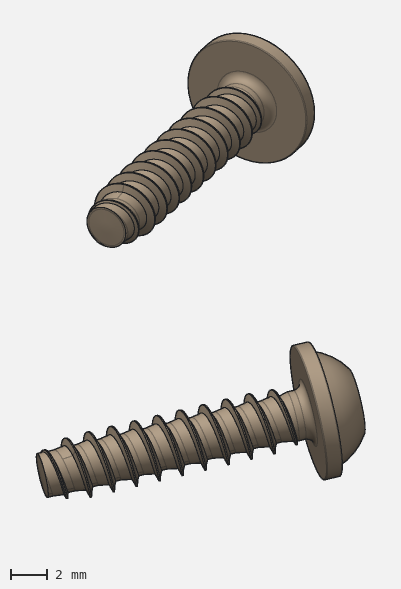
import math

import cadquery as cq


head_height = 2.7
flange_diameter = 7.5
flange_thickness = 0.9
flange_edge_radius = 0.05
dome_sphere_radius = 3.4
dome_base_radius = 3.23

shank_length = 15.0
shank_radius = 1.37
head_fillet_radius = 0.5
collar_length = 0.88
core_cone_end = 1.42
core_radius = 1.22
tip_point_height = 0.05
tip_point_radius = 1.11

thread_pitch = 1.29
thread_radius = 1.75
crest_width = 0.08
crest_start = 0.485
full_turns = 8.5
start_runout_turns = 1.25
end_runout_turns = 1.5
start_crest_radius = 1.45
end_crest_radius = 1.225
head_side_bend = (-0.13, 1.44)
head_side_foot = (-0.27, 1.16)
tip_side_foot = (0.17, 1.325)
ramp_end = (0.79, 1.212)
buried_radius = 1.0
start_angle = 180
cylinder_angle = 360

tip_edge = shank_length - tip_point_height


def revolved_body():
    """Head, collar and core, revolved about the Z axis."""
    flange_radius = flange_diameter / 2
    dome_center = math.sqrt(dome_sphere_radius**2 - dome_base_radius**2) - flange_thickness
    dome_top_radius = math.sqrt(dome_sphere_radius**2 - (head_height + dome_center) ** 2)
    dome_mid_angle = (
        math.acos(dome_base_radius / dome_sphere_radius)
        + math.acos(dome_top_radius / dome_sphere_radius)
    ) / 2
    dome_mid = (
        dome_sphere_radius * math.cos(dome_mid_angle),
        dome_center - dome_sphere_radius * math.sin(dome_mid_angle),
    )
    outline = (
        cq.Workplane("XZ")
        .moveTo(0, -head_height)
        .lineTo(dome_top_radius, -head_height)
        .threePointArc(dome_mid, (dome_base_radius, -flange_thickness))
        .lineTo(flange_radius - flange_edge_radius, -flange_thickness)
        .radiusArc((flange_radius, flange_edge_radius - flange_thickness), -flange_edge_radius)
        .lineTo(flange_radius, -flange_edge_radius)
        .radiusArc((flange_radius - flange_edge_radius, 0), -flange_edge_radius)
        .lineTo(shank_radius + head_fillet_radius, 0)
        .radiusArc((shank_radius, head_fillet_radius), head_fillet_radius)
        .lineTo(shank_radius, collar_length)
        .lineTo(core_radius, core_cone_end)
        .lineTo(core_radius, tip_edge)
        .lineTo(tip_point_radius, tip_edge)
        .lineTo(0, shank_length)
        .close()
    )
    return outline.revolve(360, (0, 0, 0), (0, 1, 0))


def thread_profile(crest_radius):
    """Corners (axial offset from the crest, radius) of the thread section.

    A crest lower than the full thread has a narrower section, with its flanks drawn in.
    """
    scale = (crest_radius - ramp_end[1]) / (thread_radius - ramp_end[1])

    def drawn_in(offset):
        crest_edge = math.copysign(crest_width / 2, offset)
        return crest_edge + scale * (offset - crest_edge)

    head_side_offset = drawn_in(head_side_foot[0])
    bend_radius = ramp_end[1] + scale * (head_side_bend[1] - ramp_end[1])
    return [
        (head_side_offset, buried_radius),
        (head_side_offset, head_side_foot[1]),
        (drawn_in(head_side_bend[0]), bend_radius),
        (-crest_width / 2, crest_radius),
        (crest_width / 2, crest_radius),
        (drawn_in(tip_side_foot[0]), min(tip_side_foot[1], crest_radius)),
        ramp_end,
        (ramp_end[0], buried_radius),
    ]


def corner_helix(start, end, crest_height, turns, turns_before):
    """Helix, conical if the radius changes, followed by one corner of the section."""
    rise = turns * thread_pitch + end[0] - start[0]
    spread = end[1] - start[1]
    slant = math.hypot(rise, spread)
    cone_angle = math.degrees(math.atan2(spread, rise)) if spread else cylinder_angle
    helix = cq.Wire.makeHelix(
        slant / turns,
        slant,
        start[1],
        cq.Vector(0, 0, crest_height + start[0]),
        angle=cone_angle,
    )
    return helix.rotate(cq.Vector(), cq.Vector(0, 0, 1), 360 * turns_before + start_angle).Edges()[0]


def thread_stretch(start_radius, end_radius, turns, turns_before):
    """Solid thread of the given turns whose crest goes from start_radius to end_radius."""
    crest_height = crest_start + turns_before * thread_pitch
    corners = zip(thread_profile(start_radius), thread_profile(end_radius))
    rails = [corner_helix(a, b, crest_height, turns, turns_before) for a, b in corners]
    next_rails = rails[1:] + rails[:1]
    faces = [cq.Face.makeRuledSurface(a, b) for a, b in zip(rails, next_rails)]
    for end_position in (0, 1):
        points = [rail.positionAt(end_position) for rail in rails]
        faces.append(cq.Face.makeFromWires(cq.Wire.makePolygon(points, close=True)))
    return cq.Workplane(cq.Solid.makeSolid(cq.Shell.makeShell(faces)))


def thread_pieces():
    """Full thread with a run-out at both ends, limited to the threaded length."""
    stretches = [
        (start_crest_radius, thread_radius, start_runout_turns),
        (thread_radius, thread_radius, full_turns),
        (thread_radius, end_crest_radius, end_runout_turns),
    ]
    limit = (
        cq.Workplane("XY", origin=(0, 0, collar_length))
        .circle(2 * thread_radius)
        .extrude(tip_edge - collar_length)
    )
    turns_before = 0
    pieces = []
    for start_radius, end_radius, turns in stretches:
        pieces.append(thread_stretch(start_radius, end_radius, turns, turns_before).intersect(limit))
        turns_before += turns
    return pieces


screw = revolved_body()
for piece in thread_pieces():
    screw = screw.union(piece)

result = screw.rotate((0, 0, 0), (1, 0, 0), 90)